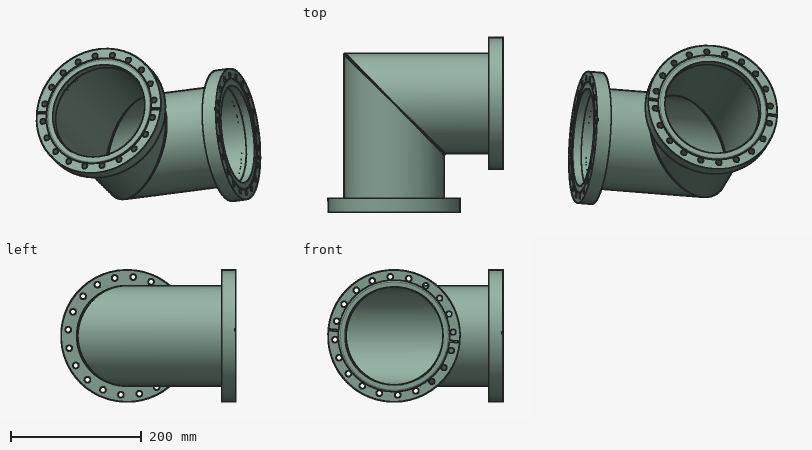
import cadquery as cq
import math

longest_side = 267.8
flange_diameter = 202.2
flange_thickness = 22.0
pipe_diameter = 154.0
pipe_bore = 150.0
socket_depth = 8.0

bolt_count = 20
bolt_circle_diameter = 181.0
bolt_hole_diameter = 8.5
bolt_pitch_angle = 360 / bolt_count

seal_recess_diameter = 171.0
seal_recess_depth = 1.5
knife_edge_diameter = 165.5
knife_edge_drop = 0.8
leak_groove_width = 2.7

bead_edge_width = 1.3
bead_root_width = 0.13

inlet_turn = -5.4
outlet_turn = -3.0

flange_radius = flange_diameter / 2
pipe_radius = pipe_diameter / 2
face_distance = longest_side - flange_radius
pipe_end = face_distance - flange_thickness + socket_depth
mitre_half_length = math.sqrt(2) * pipe_radius
mitre_plane = cq.Plane(origin=(0, 0, 0), xDir=(-1, 1, 0), normal=(1, 1, 0))


def inlet_cylinder(diameter):
    """Cylinder along Y, from beyond the mitre to the inlet pipe's end."""
    start = 2 * pipe_radius
    return cq.Workplane("XZ", origin=(0, start, 0)).circle(diameter / 2).extrude(start + pipe_end)


def outlet_cylinder(diameter):
    """Cylinder along X, from beyond the mitre to the outlet pipe's end."""
    start = 2 * pipe_radius
    return cq.Workplane("YZ", origin=(-start, 0, 0)).circle(diameter / 2).extrude(start + pipe_end)


def mitre_side(direction):
    """Block that fills one side of the mitre plane: +1 the outlet side, -1 the inlet side."""
    size = 4 * longest_side
    return cq.Workplane(mitre_plane).rect(size, size).extrude(direction * size)


def bead_zone():
    """Space of the bead: narrow at the mitre's centre, wider toward its heel and its throat."""
    heel = mitre_half_length - bead_edge_width
    throat = mitre_half_length + bead_edge_width
    widening = bead_edge_width - bead_root_width
    reach = 2 * mitre_half_length
    heel_width = bead_root_width + widening * reach / heel
    throat_width = bead_root_width + widening * reach / throat
    outline = [
        (reach, heel_width),
        (0, bead_root_width),
        (-reach, throat_width),
        (-reach, -throat_width),
        (0, -bead_root_width),
        (reach, -heel_width),
    ]
    along_mitre = cq.Plane(origin=(0, 0, -pipe_diameter), xDir=(-1, 1, 0), normal=(0, 0, 1))
    return cq.Workplane(along_mitre).polyline(outline).close().extrude(2 * pipe_diameter)


def make_pipe(cylinder, direction):
    """Straight pipe, mitred at one end and cut back to leave room for the weld bead."""
    tube = cylinder(pipe_diameter).cut(cylinder(pipe_bore))
    return tube.intersect(mitre_side(direction)).cut(bead_zone())


def make_weld_bead():
    """Oval ring that flattens the sharp heel and fills the sharp throat of the mitre."""
    heel = mitre_half_length - bead_edge_width
    throat = mitre_half_length + bead_edge_width
    oval = (
        cq.Workplane(mitre_plane)
        .moveTo(0, -pipe_radius)
        .ellipseArc(heel, pipe_radius, -90, 90)
        .ellipseArc(throat, pipe_radius, 90, 270)
        .close()
        .extrude(2 * bead_edge_width, both=True)
    )
    inlet_bore = inlet_cylinder(pipe_bore).intersect(mitre_side(-1))
    outlet_bore = outlet_cylinder(pipe_bore).intersect(mitre_side(1))
    return oval.intersect(bead_zone()).cut(inlet_bore).cut(outlet_bore)


def flange_body():
    """Ring turned about Z: face at z = 0, knife edge on the face, pipe socket in the back."""
    knife_edge_radius = knife_edge_diameter / 2
    seal_recess_radius = seal_recess_diameter / 2
    socket_floor = socket_depth - flange_thickness
    profile = [
        (pipe_bore / 2, -knife_edge_drop),
        (knife_edge_radius, -knife_edge_drop),
        (seal_recess_radius, -seal_recess_depth),
        (seal_recess_radius, 0),
        (flange_radius, 0),
        (flange_radius, -flange_thickness),
        (pipe_radius, -flange_thickness),
        (pipe_radius, socket_floor),
        (pipe_bore / 2, socket_floor),
    ]
    return cq.Workplane("XZ").polyline(profile).close().revolve(360, (0, 0, 0), (0, 1, 0))


def bolt_holes():
    """Through holes on the bolt circle, half a pitch to either side of the leak grooves."""
    return (
        cq.Workplane("XY")
        .polarArray(bolt_circle_diameter / 2, bolt_pitch_angle / 2, 360, bolt_count)
        .circle(bolt_hole_diameter / 2)
        .extrude(-flange_thickness)
    )


def leak_grooves():
    """Two opposite slots from the seal recess out through the rim."""
    bar = cq.Workplane("XY").rect(2 * flange_diameter, leak_groove_width).extrude(-seal_recess_depth)
    core = cq.Workplane("XY").circle(seal_recess_diameter / 2).extrude(-seal_recess_depth)
    return bar.cut(core)


def make_flange(face_plane, turn):
    """Flange with its face on the given plane, turned about its own axis."""
    flange = flange_body().cut(bolt_holes()).cut(leak_grooves())
    turned = flange.rotate((0, 0, 0), (0, 0, 1), turn)
    return turned.val().moved(cq.Location(face_plane))


inlet_face = cq.Plane(origin=(0, -face_distance, 0), xDir=(1, 0, 0), normal=(0, -1, 0))
outlet_face = cq.Plane(origin=(face_distance, 0, 0), xDir=(0, 1, 0), normal=(1, 0, 0))

inlet_pipe = make_pipe(inlet_cylinder, -1)
outlet_pipe = make_pipe(outlet_cylinder, 1)
weld_bead = make_weld_bead()
flanges = [make_flange(inlet_face, inlet_turn), make_flange(outlet_face, outlet_turn)]

result = cq.Compound.makeCompound([inlet_pipe.val(), outlet_pipe.val(), weld_bead.val(), *flanges])